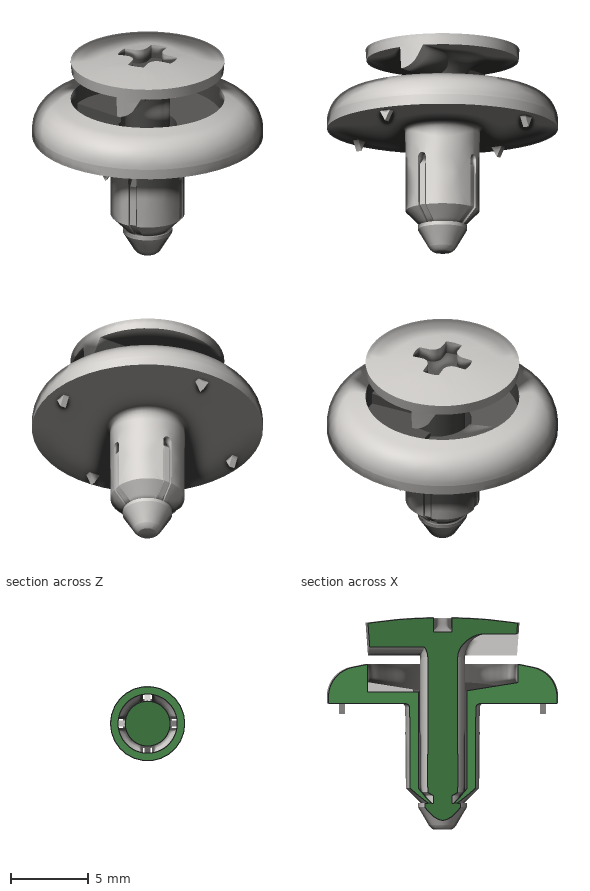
import cadquery as cq
import math

FLANGE_RADIUS = 7.5
FLANGE_EDGE_HEIGHT = 0.66
FLANGE_SHOULDER_RADIUS = 5.86
FLANGE_SHOULDER_HEIGHT = 2.4
FLANGE_HEIGHT = 2.58
FLANGE_RIM_RADIUS = 1.95
RECESS_RADIUS = 5.0

RAMP_COUNT = 4
RAMP_LOW_HEIGHT = 0.62
RAMP_SLOPE = 0.16

SLEEVE_TOP_RADIUS = 2.43
SLEEVE_RADIUS = 2.4
SLEEVE_CONE_Z = -5.48
SLEEVE_BOTTOM_Z = -6.46
SLEEVE_BOTTOM_RADIUS = 1.42
SLEEVE_FILLET = 0.25
BORE_RADIUS = 1.9
BORE_BOTTOM_RADIUS = 1.28

SLOT_WIDTH = 0.6
SLOT_TOP_Z = -1.98

FOOT_COUNT = 4
FOOT_INNER_RADIUS = 6.32
FOOT_THICKNESS = 0.4
FOOT_HEIGHT = 0.68
FOOT_WIDTH = 2 * FOOT_HEIGHT / math.sqrt(3)

HEAD_RADIUS = 5.0
HEAD_EDGE_Z = 5.25
HEAD_BOTTOM_Z = 4.53
DOME_HEIGHT = 0.38
HEAD_TAPER = math.tan(math.radians(4.3))

CROSS_ARM_COUNT = 4
CROSS_RADIUS = 1.95
CROSS_ARM_WIDTH = 1.12
CROSS_CORNER_RADIUS = 0.65
CROSS_FLOOR_Z = 4.66

WING_COUNT = 2
WING_BOTTOM_Z = 3.14
WING_CURVE_RADIUS = 1.38
WING_FLANK_ANGLE = math.radians(60)

STEM_RADIUS = 1.47
STEM_FILLET = 1.5
NECK_RADIUS = 1.25
NECK_TAPER_Z = -5.75

RIB_COUNT = 4
RIB_WIDTH = 0.4
RIB_RADIUS = 2.32
RIB_SHOULDER_Z = -2.73
RIB_CONE_Z = -5.43

TIP_RADIUS = 1.6
TIP_RIM_HEIGHT = 0.24
TIP_CONE_BOTTOM_Z = -7.89
TIP_CONE_BOTTOM_RADIUS = 0.9
TIP_END_RADIUS = 0.58
TIP_BOTTOM_Z = -8.18

EXTRA = 0.15


def spin(solid, index, count):
    """Turn a solid about Z to its place in an evenly spaced ring."""
    return solid.rotate((0, 0, 0), (0, 0, 1), index * 360 / count)


def revolve_profile(profile):
    """Revolve a closed XZ profile about the Z axis."""
    return profile.close().revolve(360, (0, 0, 0), (0, 1, 0))


def grommet_blank():
    profile = (
        cq.Workplane("XZ")
        .moveTo(0, FLANGE_HEIGHT)
        .lineTo(RECESS_RADIUS, FLANGE_HEIGHT)
        .lineTo(FLANGE_SHOULDER_RADIUS, FLANGE_SHOULDER_HEIGHT)
        .radiusArc((FLANGE_RADIUS, FLANGE_EDGE_HEIGHT), FLANGE_RIM_RADIUS)
        .lineTo(FLANGE_RADIUS, 0)
        .lineTo(SLEEVE_TOP_RADIUS + SLEEVE_FILLET, 0)
        .radiusArc((SLEEVE_TOP_RADIUS, -SLEEVE_FILLET), -SLEEVE_FILLET)
        .lineTo(SLEEVE_RADIUS, SLEEVE_CONE_Z)
        .lineTo(SLEEVE_BOTTOM_RADIUS, SLEEVE_BOTTOM_Z)
        .lineTo(0, SLEEVE_BOTTOM_Z)
    )
    return revolve_profile(profile)


def bore():
    profile = (
        cq.Workplane("XZ")
        .moveTo(0, FLANGE_HEIGHT)
        .lineTo(BORE_RADIUS, FLANGE_HEIGHT)
        .lineTo(BORE_RADIUS, SLEEVE_CONE_Z)
        .lineTo(BORE_BOTTOM_RADIUS, SLEEVE_BOTTOM_Z)
        .lineTo(0, SLEEVE_BOTTOM_Z)
    )
    return revolve_profile(profile)


def recess_quadrant():
    """One quarter of the recess, whose floor climbs away from the YZ plane toward -X."""
    ramp_high = RAMP_LOW_HEIGHT + RAMP_SLOPE * RECESS_RADIUS
    wedge = (
        cq.Workplane("XZ")
        .moveTo(0, RAMP_LOW_HEIGHT)
        .lineTo(-RECESS_RADIUS, ramp_high)
        .lineTo(-RECESS_RADIUS, FLANGE_HEIGHT)
        .lineTo(0, FLANGE_HEIGHT)
        .close()
        .extrude(-RECESS_RADIUS)
    )
    return wedge.intersect(cq.Workplane("XY").circle(RECESS_RADIUS).extrude(FLANGE_HEIGHT))


def slot():
    """Round-topped slot in the -Y wall of the sleeve, open at the bottom."""
    half_width = SLOT_WIDTH / 2
    arc_z = SLOT_TOP_Z - half_width
    return (
        cq.Workplane("XZ")
        .moveTo(-half_width, SLEEVE_BOTTOM_Z - EXTRA)
        .lineTo(-half_width, arc_z)
        .threePointArc((0, SLOT_TOP_Z), (half_width, arc_z))
        .lineTo(half_width, SLEEVE_BOTTOM_Z - EXTRA)
        .close()
        .extrude(SLEEVE_TOP_RADIUS + EXTRA)
    )


def foot():
    """Triangular foot under the -Y edge of the flange."""
    return (
        cq.Workplane("XZ", origin=(0, -FOOT_INNER_RADIUS, 0))
        .moveTo(-FOOT_WIDTH / 2, 0)
        .lineTo(FOOT_WIDTH / 2, 0)
        .lineTo(0, -FOOT_HEIGHT)
        .close()
        .extrude(FOOT_THICKNESS)
    )


def build_grommet():
    body = grommet_blank().cut(bore())
    for index in range(RAMP_COUNT):
        body = body.cut(spin(recess_quadrant(), index, RAMP_COUNT))
        body = body.cut(spin(slot(), index, RAMP_COUNT))
    for index in range(FOOT_COUNT):
        body = body.union(spin(foot(), index, FOOT_COUNT))
    return body


def head_radius_at(z):
    return HEAD_RADIUS - HEAD_TAPER * (HEAD_EDGE_Z - z)


def pin_blank():
    dome_radius = (HEAD_RADIUS**2 + DOME_HEIGHT**2) / (2 * DOME_HEIGHT)
    profile = (
        cq.Workplane("XZ")
        .moveTo(0, HEAD_EDGE_Z + DOME_HEIGHT)
        .radiusArc((HEAD_RADIUS, HEAD_EDGE_Z), dome_radius)
        .lineTo(head_radius_at(HEAD_BOTTOM_Z), HEAD_BOTTOM_Z)
        .lineTo(STEM_RADIUS + STEM_FILLET, HEAD_BOTTOM_Z)
        .radiusArc((STEM_RADIUS, HEAD_BOTTOM_Z - STEM_FILLET), -STEM_FILLET)
        .lineTo(STEM_RADIUS, NECK_TAPER_Z)
        .lineTo(NECK_RADIUS, NECK_TAPER_Z - (STEM_RADIUS - NECK_RADIUS))
        .lineTo(NECK_RADIUS, SLEEVE_BOTTOM_Z)
        .lineTo(TIP_RADIUS, SLEEVE_BOTTOM_Z)
        .lineTo(TIP_RADIUS, SLEEVE_BOTTOM_Z - TIP_RIM_HEIGHT)
        .lineTo(TIP_CONE_BOTTOM_RADIUS, TIP_CONE_BOTTOM_Z)
        .tangentArcPoint((TIP_END_RADIUS, TIP_BOTTOM_Z), relative=False)
        .lineTo(0, TIP_BOTTOM_Z)
    )
    return revolve_profile(profile)


def cross_recess():
    depth = HEAD_EDGE_Z + DOME_HEIGHT - CROSS_FLOOR_Z
    plane = cq.Workplane("XY", origin=(0, 0, CROSS_FLOOR_Z))
    beam = plane.rect(2 * CROSS_RADIUS + EXTRA, CROSS_ARM_WIDTH).extrude(depth)
    cross = beam.union(spin(beam, 1, CROSS_ARM_COUNT))
    inner_corner = CROSS_ARM_WIDTH / 2 + EXTRA
    near_axis = cq.selectors.BoxSelector(
        (-inner_corner, -inner_corner, CROSS_FLOOR_Z),
        (inner_corner, inner_corner, CROSS_FLOOR_Z + depth),
    )
    cross = cross.edges("|Z").edges(near_axis).fillet(CROSS_CORNER_RADIUS)
    return cross.intersect(plane.circle(CROSS_RADIUS).extrude(depth))


def wing():
    """Cam wing on the -Y side: flat face on the YZ plane, curved flank toward +X."""
    flank_x = WING_CURVE_RADIUS * math.sin(WING_FLANK_ANGLE)
    flank_z = WING_BOTTOM_Z + WING_CURVE_RADIUS * (1 - math.cos(WING_FLANK_ANGLE))
    top_x = flank_x + (HEAD_BOTTOM_Z - flank_z) / math.tan(WING_FLANK_ANGLE)
    prism = (
        cq.Workplane("XZ")
        .moveTo(0, HEAD_BOTTOM_Z)
        .lineTo(0, WING_BOTTOM_Z)
        .radiusArc((flank_x, flank_z), -WING_CURVE_RADIUS)
        .lineTo(top_x, HEAD_BOTTOM_Z)
        .close()
        .extrude(HEAD_RADIUS)
    )
    envelope = revolve_profile(
        cq.Workplane("XZ")
        .moveTo(0, HEAD_BOTTOM_Z)
        .lineTo(head_radius_at(HEAD_BOTTOM_Z), HEAD_BOTTOM_Z)
        .lineTo(head_radius_at(WING_BOTTOM_Z), WING_BOTTOM_Z)
        .lineTo(0, WING_BOTTOM_Z)
    )
    return prism.intersect(envelope)


def rib():
    """Stem rib toward +X that sits loosely in one sleeve slot; both of its ends slope at 45 degrees."""
    return (
        cq.Workplane("XZ", origin=(0, RIB_WIDTH / 2, 0))
        .moveTo(0, RIB_SHOULDER_Z + RIB_RADIUS)
        .lineTo(RIB_RADIUS, RIB_SHOULDER_Z)
        .lineTo(RIB_RADIUS, RIB_CONE_Z)
        .lineTo(RIB_RADIUS - (RIB_CONE_Z - SLEEVE_BOTTOM_Z), SLEEVE_BOTTOM_Z)
        .lineTo(0, SLEEVE_BOTTOM_Z)
        .close()
        .extrude(RIB_WIDTH)
    )


def build_pin():
    body = pin_blank().cut(cross_recess())
    for index in range(WING_COUNT):
        body = body.union(spin(wing(), index, WING_COUNT))
    for index in range(RIB_COUNT):
        body = body.union(spin(rib(), index, RIB_COUNT))
    return body


grommet = build_grommet()
pin = build_pin()
result = cq.Compound.makeCompound([grommet.solids().val(), pin.solids().val()])